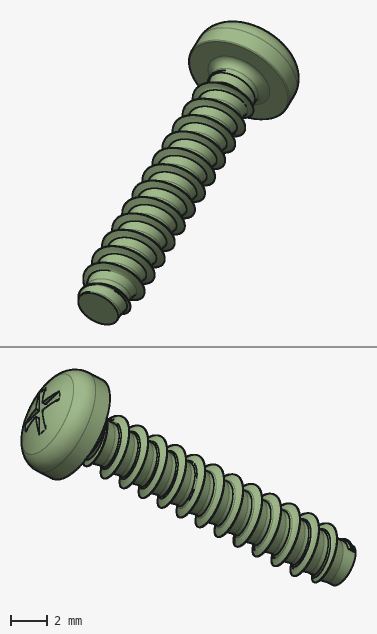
import cadquery as cq
import math


head_radius = 3.05
head_height = 2.65
shoulder_depth = 1.6
dome_edge_radius = 2.44
dome_edge_depth = 0.58
rim_fillet = 0.06

slot_width = 0.6
slot_depth = 0.23

shank_length = 18.0
neck_radius = 1.4
neck_fillet = 0.47
neck_length = 0.85
neck_taper_length = 0.54
core_radius = 1.22

pitch = 1.29
crest_radius = 1.75
crest_width = 0.05
thread_start = -0.58
thread_turns = 13.25
run_in_radius = 1.38
run_in_end = -1.96
run_out_start = -16.1
run_out_end = -17.55
run_out_radius = 1.36
root_slope_length = 0.8
tip_margin = 0.05
sections_per_turn = 24


def revolve_about_axis(profile):
    """Turn a closed profile of (radius, height) points around the screw axis."""
    return profile.close().revolve(360, (0, 0, 0), (0, 1, 0))


def make_head():
    dome_radius = (dome_edge_radius**2 + dome_edge_depth**2) / (2 * dome_edge_depth)
    slot_corner = slot_width / math.sqrt(2)
    apex = head_height + dome_radius - math.sqrt(dome_radius**2 - slot_corner**2)
    dome_center = apex - dome_radius
    dome_edge = dome_center + math.sqrt(dome_radius**2 - dome_edge_radius**2)
    half_angle = math.asin(dome_edge_radius / dome_radius) / 2
    dome_middle = (
        dome_radius * math.sin(half_angle),
        dome_center + dome_radius * math.cos(half_angle),
    )
    rim_top = head_height - shoulder_depth
    profile = (
        cq.Workplane("XZ")
        .lineTo(head_radius, 0)
        .lineTo(head_radius, rim_top)
        .tangentArcPoint((dome_edge_radius, dome_edge), relative=False)
        .threePointArc(dome_middle, (0, apex))
    )
    return revolve_about_axis(profile).faces("<Z").edges().fillet(rim_fillet)


def make_cross_slot():
    slot_length = 2 * head_radius
    slot_top = 2 * slot_depth
    floor = cq.Workplane("XY").workplane(offset=head_height - slot_depth)
    arm = floor.rect(slot_length, slot_width).extrude(slot_top)
    return arm.union(floor.rect(slot_width, slot_length).extrude(slot_top))


def make_shank():
    profile = (
        cq.Workplane("XZ")
        .moveTo(0, rim_fillet)
        .lineTo(neck_radius + neck_fillet, rim_fillet)
        .lineTo(neck_radius + neck_fillet, 0)
        .radiusArc((neck_radius, -neck_fillet), -neck_fillet)
        .lineTo(neck_radius, -neck_length)
        .lineTo(core_radius, -neck_length - neck_taper_length)
        .lineTo(core_radius, -shank_length)
        .lineTo(0, -shank_length)
    )
    return revolve_about_axis(profile)


def crest_radius_at(height):
    """The crest rises out of the neck, runs level and sinks toward the core at the tip."""
    run_in_share = (thread_start - height) / (thread_start - run_in_end)
    run_out_share = (run_out_start - height) / (run_out_start - run_out_end)
    rising = run_in_radius + run_in_share * (crest_radius - run_in_radius)
    sinking = crest_radius - run_out_share * (crest_radius - run_out_radius)
    return min(rising, crest_radius, max(sinking, run_out_radius))


def flank_root(radius, offset, crest):
    """Foot of a flank, drawn in toward the crest line where the crest is lower than usual."""
    share = (crest - radius) / (crest_radius - radius)
    half_crest = math.copysign(crest_width / 2, offset)
    return (radius, half_crest + share * (offset - half_crest))


def ridge_section(crest, lower_foot):
    """Ridge outline as (radius, height above the crest) points, from its head side to its tip side."""
    buried_radius = core_radius - 0.15
    upper_foot = 0.43
    return [
        (buried_radius, upper_foot),
        flank_root(1.3, 0.23, crest),
        (crest, crest_width / 2),
        (crest, -crest_width / 2),
        flank_root(1.35, -0.19, crest),
        (core_radius - 0.02, lower_foot),
        (buried_radius, lower_foot),
    ]


def make_thread():
    sections = []
    for step in range(round(thread_turns * sections_per_turn) + 1):
        turn = step / sections_per_turn
        height = thread_start - turn * pitch
        lower_foot = max(-root_slope_length, tip_margin - shank_length - height)
        angle = -math.pi / 2 - 2 * math.pi * turn
        sections.append([
            cq.Vector(radius * math.cos(angle), radius * math.sin(angle), height + offset)
            for radius, offset in ridge_section(crest_radius_at(height), lower_foot)
        ])
    edges = [cq.Edge.makeSpline(list(points)) for points in zip(*sections)]
    faces = [
        cq.Face.makeRuledSurface(edge, following)
        for edge, following in zip(edges, edges[1:] + edges[:1])
    ]
    for section in (sections[0], sections[-1]):
        faces.append(cq.Face.makeFromWires(cq.Wire.makePolygon(section, close=True)))
    return cq.Workplane(cq.Solid.makeSolid(cq.Shell.makeShell(faces)))


head = make_head().cut(make_cross_slot())
screw = head.union(make_shank()).union(make_thread())
result = screw.rotate((0, 0, 0), (1, 0, 0), -90)